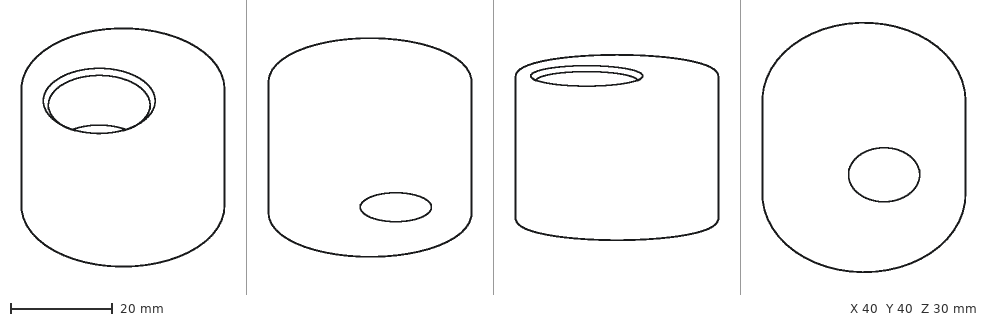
import cadquery as cq

body_diameter = 40.0
body_height = 30.0
edge_radius = 1.0

hole_offset_y = -7.0
hole_diameter = 14.0
counterbore_diameter = 20.0
counterbore_depth = 13.0
counterbore_chamfer = 1.0


def make_body():
    """Solid cylinder standing on Z = 0 with both rims rounded."""
    cylinder = cq.Workplane("XY").circle(body_diameter / 2).extrude(body_height)
    return cylinder.faces("<Z or >Z").edges().fillet(edge_radius)


def make_hole_cutter():
    """Through hole, counterbore and the chamfer at its mouth, as one tool."""
    hole_axis = cq.Workplane("XY").center(0, hole_offset_y)
    through_hole = hole_axis.circle(hole_diameter / 2).extrude(body_height)
    counterbore = (
        hole_axis.workplane(offset=body_height - counterbore_depth)
        .circle(counterbore_diameter / 2)
        .extrude(counterbore_depth)
    )
    mouth_radius = counterbore_diameter / 2 + counterbore_chamfer
    mouth = (
        hole_axis.workplane(offset=body_height)
        .circle(mouth_radius)
        .workplane(offset=-counterbore_chamfer)
        .circle(counterbore_diameter / 2)
        .loft(ruled=True)
    )
    return through_hole.union(counterbore).union(mouth)


result = make_body().cut(make_hole_cutter())